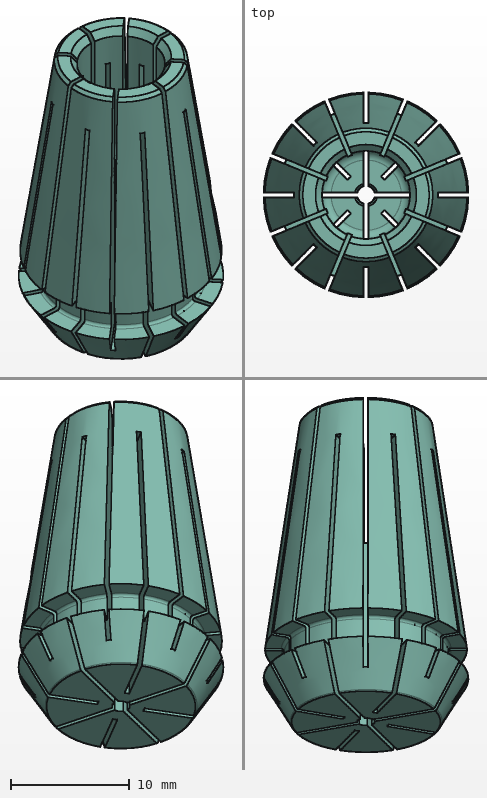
import cadquery as cq
import math


full_turn = 360.0

total_length = 27.5
nose_height = 4.0
nose_radius = 8.62
nose_half_angle = 30.0
nose_edge_chamfer = 0.12
groove_top = 6.67
groove_radius = 6.9
groove_fillet = 0.25
taper_base_radius = 8.5
taper_half_angle = 8.0
rear_chamfer = 0.3

counterbore_radius = 3.7
counterbore_floor = 14.6
counterbore_floor_fillet = 0.75
mouth_radius = 4.24
mouth_depth = 0.65
clamp_hole_radius = 0.75
clamp_hole_chamfer = 0.2

slot_width = 0.4
slots_per_end = 8
slot_pitch = full_turn / slots_per_end
front_slot_end = 24.0
front_slot_hub_radius = 2.0
rear_slot_end = 1.77
rear_slot_inner_radius = 3.55
overrun = 1.0
slot_reach = nose_radius + overrun


def make_body():
    """Revolved outside shape: nose cone, groove and long taper."""
    nose_slope = math.tan(math.radians(nose_half_angle))
    taper_slope = math.tan(math.radians(taper_half_angle))
    front_radius = nose_radius - nose_height * nose_slope
    chamfer_base = total_length - rear_chamfer
    chamfer_base_radius = taper_base_radius - (chamfer_base - groove_top) * taper_slope
    fillet_edge_radius = groove_radius + groove_fillet
    arc_inset = groove_fillet * (1 - math.sqrt(0.5))
    arc_radius = groove_radius + arc_inset
    profile = (
        cq.Workplane("XZ")
        .lineTo(front_radius - nose_edge_chamfer * (1 - nose_slope), 0)
        .lineTo(front_radius + nose_edge_chamfer * nose_slope, nose_edge_chamfer)
        .lineTo(nose_radius, nose_height)
        .lineTo(fillet_edge_radius, nose_height)
        .threePointArc((arc_radius, nose_height + arc_inset), (groove_radius, nose_height + groove_fillet))
        .lineTo(groove_radius, groove_top - groove_fillet)
        .threePointArc((arc_radius, groove_top - arc_inset), (fillet_edge_radius, groove_top))
        .lineTo(taper_base_radius, groove_top)
        .lineTo(chamfer_base_radius, chamfer_base)
        .lineTo(chamfer_base_radius - rear_chamfer, total_length)
        .lineTo(0, total_length)
        .close()
    )
    return profile.revolve(full_turn, (0, 0, 0), (0, 1, 0))


def make_bore():
    """Revolved cutter: clamping hole, filleted counterbore and flared mouth."""
    floor_flat_radius = counterbore_radius - counterbore_floor_fillet
    arc_offset = counterbore_floor_fillet * math.sqrt(0.5)
    arc_middle = (
        floor_flat_radius + arc_offset,
        counterbore_floor + counterbore_floor_fillet - arc_offset,
    )
    profile = (
        cq.Workplane("XZ")
        .lineTo(clamp_hole_radius, 0)
        .lineTo(clamp_hole_radius, counterbore_floor - clamp_hole_chamfer)
        .lineTo(clamp_hole_radius + clamp_hole_chamfer, counterbore_floor)
        .lineTo(floor_flat_radius, counterbore_floor)
        .threePointArc(arc_middle, (counterbore_radius, counterbore_floor + counterbore_floor_fillet))
        .lineTo(counterbore_radius, total_length - mouth_depth)
        .lineTo(mouth_radius, total_length)
        .lineTo(0, total_length)
        .close()
    )
    return profile.revolve(full_turn, (0, 0, 0), (0, 1, 0))


def make_slot(inner_radius, bottom, top, angle):
    """Radial saw cut, running outward from inner_radius at the given angle."""
    return (
        cq.Workplane("XY")
        .box(slot_reach - inner_radius, slot_width, top - bottom, centered=(False, True, False))
        .translate((inner_radius, 0, bottom))
        .rotate((0, 0, 0), (0, 0, 1), angle)
    )


result = make_body().cut(make_bore())

for index in range(slots_per_end):
    front_inner_radius = 0 if index % 2 == 0 else front_slot_hub_radius
    front_angle = index * slot_pitch
    result = result.cut(make_slot(front_inner_radius, -overrun, front_slot_end, front_angle))

    rear_angle = (index + 0.5) * slot_pitch
    rear_top = total_length + overrun
    result = result.cut(make_slot(rear_slot_inner_radius, rear_slot_end, rear_top, rear_angle))